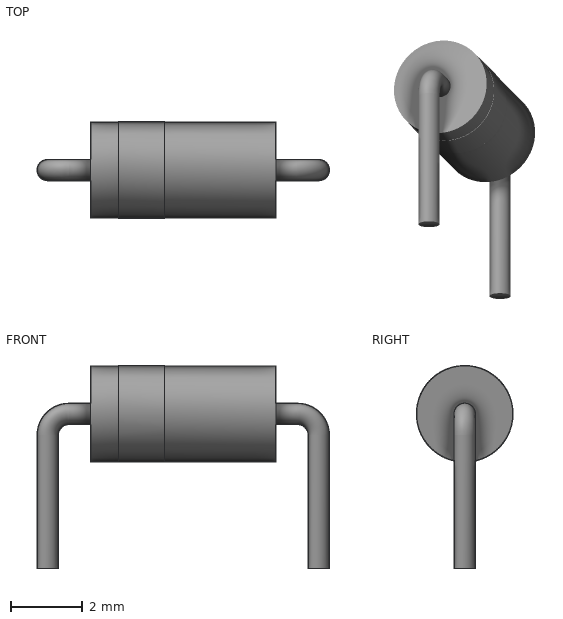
import cadquery as cq

lead_pitch = 7.62
lead_diameter = 0.6
lead_depth = 3.0
bend_radius = lead_diameter

body_diameter = 2.7
body_length = 5.2

band_diameter = 2.72
band_offset = 0.15 * body_length
band_width = 0.25 * body_length

axis_height = body_diameter / 2
body_start = (lead_pitch - body_length) / 2


def cylinder_along_x(diameter, start, length):
    """Cylinder on the body axis, beginning at X = start."""
    face = cq.Workplane("YZ", origin=(start, 0, axis_height))
    return face.circle(diameter / 2).extrude(length)


def bent_leads():
    """One wire up from the first lead tip, through the body and down to the second tip."""
    bend_start_height = axis_height - bend_radius
    path = (
        cq.Workplane("XZ")
        .moveTo(0, -lead_depth)
        .lineTo(0, bend_start_height)
        .tangentArcPoint((bend_radius, axis_height), relative=False)
        .lineTo(lead_pitch - bend_radius, axis_height)
        .tangentArcPoint((lead_pitch, bend_start_height), relative=False)
        .lineTo(lead_pitch, -lead_depth)
    )
    tip = cq.Workplane("XY", origin=(0, 0, -lead_depth))
    return tip.circle(lead_diameter / 2).sweep(path)


body = cylinder_along_x(body_diameter, body_start, body_length)
cathode_band = cylinder_along_x(band_diameter, body_start + band_offset, band_width)

result = body.union(cathode_band).union(bent_leads())